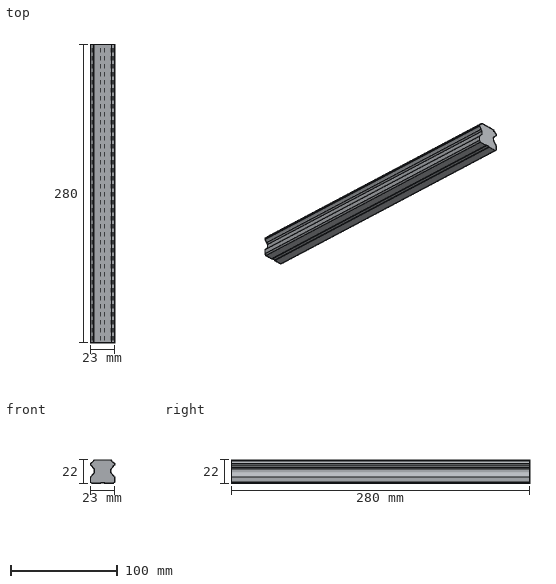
import cadquery as cq

length = 280.0
width = 23.0
height = 22.0

top_width = 16.2
top_bevel_width = 0.3
top_bevel_height = 0.8
head_side_top = 18.8

head_side_bottom = 17.5
lip_bevel_width = 0.8
lip_bevel_height = 0.5
lower_raceway_width = 18.5
lower_raceway_bottom = 14.8

raceway_sagitta = 0.15

neck_width = 15.7
neck_top = 13.5
neck_bottom = 10.0
neck_fillet = 1.0
base_side_top = 6.0

base_chamfer = 1.5
groove_width = 3.5
groove_depth = 0.5


def blank():
    """Rectangular bar along Y, standing on Z = 0, with chamfered lower corners."""
    bar = cq.Workplane("XY").box(width, length, height, centered=(True, True, False))
    return bar.faces("<Z").edges("|Y").chamfer(base_chamfer)


def underside_groove():
    """Shallow rectangular groove along the middle of the underside."""
    return cq.Workplane("XY").box(groove_width, length, groove_depth, centered=(True, True, False))


def upper_raceway():
    """Material removed from the top right corner."""
    bevel_lower_edge = (top_width / 2 + top_bevel_width, height - top_bevel_height)
    return (
        cq.Workplane("XZ")
        .moveTo(width / 2, height)
        .lineTo(top_width / 2, height)
        .lineTo(*bevel_lower_edge)
        .sagittaArc((width / 2, head_side_top), -raceway_sagitta)
        .close()
        .extrude(length / 2, both=True)
    )


def waist():
    """Material removed from the right side, from the base up to the head."""
    lip_inner_edge = (width / 2 - lip_bevel_width, head_side_bottom - lip_bevel_height)
    cutter = (
        cq.Workplane("XZ")
        .moveTo(width / 2, base_side_top)
        .lineTo(neck_width / 2, neck_bottom)
        .lineTo(neck_width / 2, neck_top)
        .lineTo(lower_raceway_width / 2, lower_raceway_bottom)
        .sagittaArc(lip_inner_edge, raceway_sagitta)
        .lineTo(width / 2, head_side_bottom)
        .close()
        .extrude(length / 2, both=True)
    )
    neck_foot = cq.selectors.NearestToPointSelector((neck_width / 2, 0, neck_bottom))
    return cutter.edges(neck_foot).fillet(neck_fillet)


result = blank().cut(underside_groove())

for cutter in (upper_raceway(), waist()):
    result = result.cut(cutter).cut(cutter.mirror("YZ"))